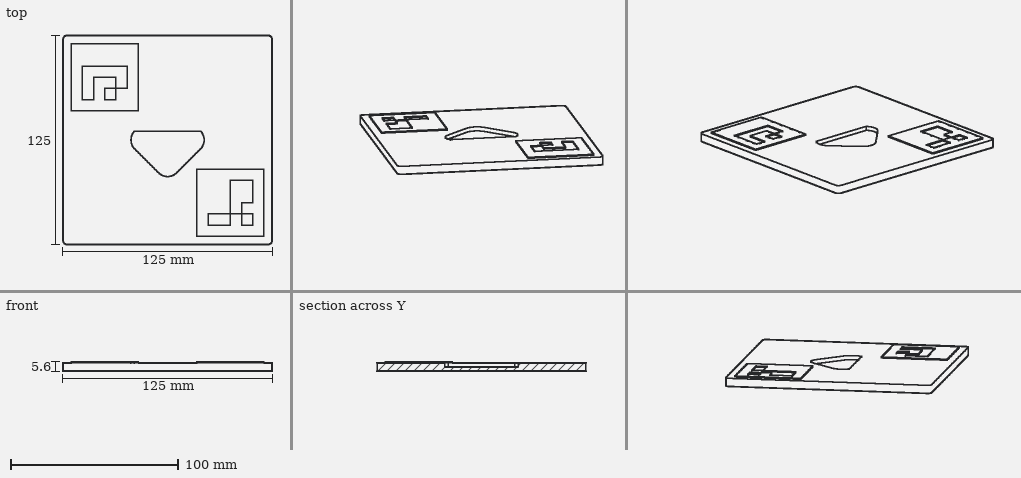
import cadquery as cq

plate_side = 125.0
plate_thickness = 5.0
plate_corner_radius = 2.5

pad_side = 40.0
pad_height = 0.6
pad_margin = 5.0
pad_offset = plate_side / 2 - pad_margin - pad_side / 2

upper_left_pattern = [
    "######",
    "######",
    "#....#",
    "#.##.#",
    "#.#.##",
    "######",
]
lower_right_pattern = [
    "######",
    "###..#",
    "###..#",
    "###.##",
    "#..#.#",
    "######",
]

pocket_half_chord = 5.1
pocket_chord_distance = 19.9
pocket_arc_distance = 21.9
pocket_depth = 2.5


def make_plate():
    plate = cq.Workplane("XY").box(plate_side, plate_side, plate_thickness, centered=(True, True, False))
    return plate.edges("|Z").fillet(plate_corner_radius)


def make_pad(pattern, center_x, center_y):
    cell = pad_side / len(pattern)
    surface = cq.Workplane("XY", origin=(center_x, center_y, plate_thickness))
    pad = surface.rect(pad_side, pad_side).extrude(pad_height)
    open_centers = []
    for row, cells in enumerate(pattern):
        for column, mark in enumerate(cells):
            if mark == ".":
                x = (column + 0.5) * cell - pad_side / 2
                y = pad_side / 2 - (row + 0.5) * cell
                open_centers.append((x, y))
    openings = surface.pushPoints(open_centers).rect(cell, cell).extrude(pad_height)
    return pad.cut(openings)


def make_pocket():
    chord = pocket_chord_distance
    half = pocket_half_chord
    tip = pocket_arc_distance
    floor = cq.Workplane("XY", origin=(0, 0, plate_thickness - pocket_depth))
    outline = (
        floor.moveTo(-chord, half)
        .lineTo(chord, half)
        .threePointArc((tip, 0), (chord, -half))
        .lineTo(half, -chord)
        .threePointArc((0, -tip), (-half, -chord))
        .lineTo(-chord, -half)
        .threePointArc((-tip, 0), (-chord, half))
        .close()
    )
    return outline.extrude(pocket_depth)


result = make_plate().cut(make_pocket())
result = result.union(make_pad(upper_left_pattern, -pad_offset, pad_offset))
result = result.union(make_pad(lower_right_pattern, pad_offset, -pad_offset))